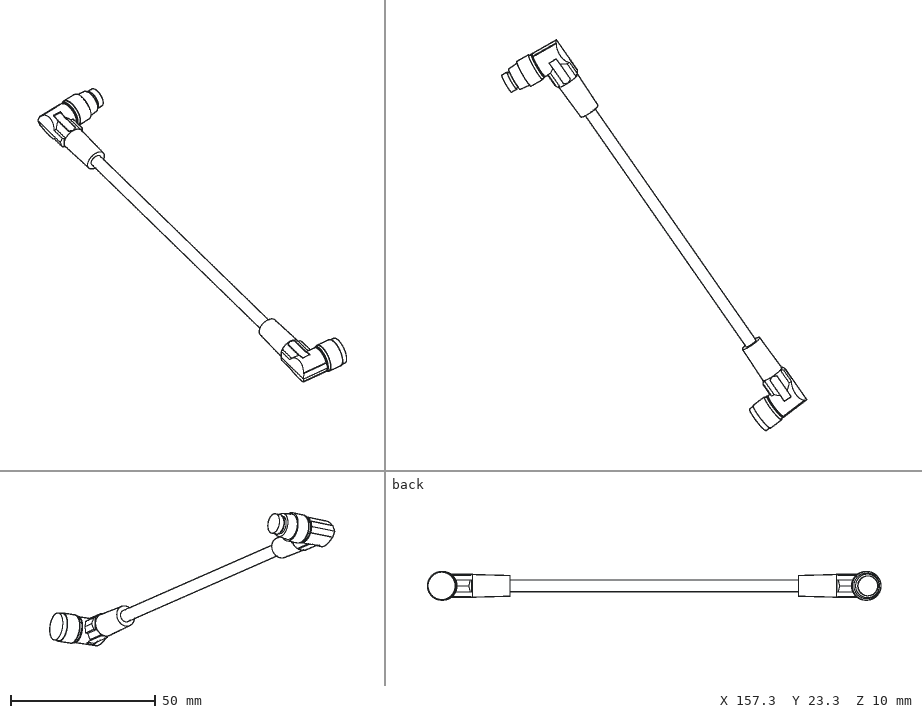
import cadquery as cq
import math

OVERALL_LENGTH = 157.26
OVERALL_WIDTH = 23.31

CABLE_RADIUS = 2.1
HEAD_TILT = 3.8

HEAD_RADIUS = 4.55
HEAD_TOP = 5.4
HEAD_BOTTOM = -6.0
ARM_RADIUS = 3.95
ARM_END = 9.8

RIB_HALF_WIDTH = 2.1
RIB_RIDGE = 4.8
RIB_ROOF_DROP = 0.5
HEAD_RIB_REACH = 4.8
RIB_SHOULDER = 8.6
RIB_TIP = 9.5
HEAD_EDGE = 3.3

PAD_HEIGHT = 4.05
PAD_HALF_WIDTH = 1.45
PAD_START = 0.25
PAD_SHOULDER = 9.1

SLEEVE_END = 22.95
SLEEVE_START_RADIUS = 4.0
SLEEVE_END_RADIUS = 3.65

COLLAR_RADIUS = 5.0
COLLAR_BOTTOM = 6.7
NECK_RADIUS = 4.2
NECK_RING_RADIUS = 4.7
NECK_RING_BOTTOM = 5.8
PLUG_COLLAR_TOP = 11.4
SOCKET_COLLAR_TOP = 11.6
SOCKET_RIM_RADIUS = 4.75
SOCKET_TOP = 13.35

CONE_BASE_RADIUS = 4.45
CONE_TOP_RADIUS = 4.1
CONE_TOP = 15.2
NOSE_NECK_RADIUS = 3.1
NOSE_BOTTOM = 16.2
NOSE_RADIUS = 3.45

tilt = math.radians(HEAD_TILT)
nose_top = (OVERALL_WIDTH - RIB_RIDGE - NOSE_RADIUS * math.sin(tilt)) / math.cos(tilt)
collar_reach = 2 * COLLAR_RADIUS * math.cos(tilt)
lean_reach = (PLUG_COLLAR_TOP + SOCKET_COLLAR_TOP) * math.sin(tilt)
elbow_offset = (OVERALL_LENGTH - collar_reach - lean_reach) / 2


def revolve_about_y(stations):
    """Solid of revolution about Y from (radius, height) stations, closed on the axis."""
    bottom = stations[0][1]
    top = stations[-1][1]
    outline = [(0, bottom)] + stations + [(0, top)]
    return cq.Workplane("XY").polyline(outline).close().revolve(360, (0, 0, 0), (0, 1, 0))


def neck_and_collar(collar_top):
    """Outline stations shared by both heads, from the neck up to the collar top."""
    return [
        (NECK_RADIUS, HEAD_TOP),
        (NECK_RADIUS, NECK_RING_BOTTOM),
        (NECK_RING_RADIUS, NECK_RING_BOTTOM),
        (NECK_RING_RADIUS, COLLAR_BOTTOM),
        (COLLAR_RADIUS, COLLAR_BOTTOM),
        (COLLAR_RADIUS, collar_top),
    ]


def plug_nose():
    return revolve_about_y(neck_and_collar(PLUG_COLLAR_TOP) + [
        (CONE_BASE_RADIUS, PLUG_COLLAR_TOP),
        (CONE_TOP_RADIUS, CONE_TOP),
        (NOSE_NECK_RADIUS, CONE_TOP),
        (NOSE_NECK_RADIUS, NOSE_BOTTOM),
        (NOSE_RADIUS, NOSE_BOTTOM),
        (NOSE_RADIUS, nose_top),
    ])


def socket_collar():
    return revolve_about_y(neck_and_collar(SOCKET_COLLAR_TOP) + [
        (SOCKET_RIM_RADIUS, SOCKET_COLLAR_TOP),
        (SOCKET_RIM_RADIUS, SOCKET_TOP),
    ])


def bottom_wedge():
    """Envelope of the connector bottom: a roof along the cable axis that slopes away to +Z and -Z."""
    edge = RIB_RIDGE - RIB_ROOF_DROP
    return (
        cq.Workplane("YZ")
        .polyline([
            (OVERALL_WIDTH, COLLAR_RADIUS),
            (0, COLLAR_RADIUS),
            (-HEAD_EDGE, HEAD_RADIUS),
            (-edge, RIB_HALF_WIDTH),
            (-RIB_RIDGE, 0),
            (-edge, -RIB_HALF_WIDTH),
            (-HEAD_EDGE, -HEAD_RADIUS),
            (0, -COLLAR_RADIUS),
            (OVERALL_WIDTH, -COLLAR_RADIUS),
        ])
        .close()
        .extrude(2 * COLLAR_RADIUS, both=True)
    )


def pad_bar(half_height):
    """Bar with a pointed end, reaching equally far to +Z and -Z."""
    return (
        cq.Workplane("XY")
        .polyline([
            (PAD_START, -PAD_HALF_WIDTH),
            (PAD_SHOULDER, -PAD_HALF_WIDTH),
            (ARM_END, 0),
            (PAD_SHOULDER, PAD_HALF_WIDTH),
            (PAD_START, PAD_HALF_WIDTH),
        ])
        .close()
        .extrude(half_height, both=True)
    )


def elbow_rib():
    """Rib along the arm, with a roof-shaped face on both the +Y and -Y sides."""
    edge = RIB_RIDGE - RIB_ROOF_DROP
    roof = (
        cq.Workplane("YZ")
        .polyline([
            (-RIB_RIDGE, 0),
            (-edge, RIB_HALF_WIDTH),
            (edge, RIB_HALF_WIDTH),
            (RIB_RIDGE, 0),
            (edge, -RIB_HALF_WIDTH),
            (-edge, -RIB_HALF_WIDTH),
        ])
        .close()
        .extrude(RIB_TIP)
    )
    sloped_end = (
        cq.Workplane("XY")
        .polyline([
            (0, -RIB_RIDGE),
            (RIB_SHOULDER, -RIB_RIDGE),
            (RIB_TIP, -ARM_RADIUS),
            (RIB_TIP, ARM_RADIUS),
            (RIB_SHOULDER, RIB_RIDGE),
            (0, RIB_RIDGE),
        ])
        .close()
        .extrude(RIB_HALF_WIDTH, both=True)
    )
    return roof.intersect(sloped_end)


def head_rib():
    """Roof-shaped rib up the outer side of the head."""
    edge = HEAD_RIB_REACH - RIB_ROOF_DROP
    return (
        cq.Workplane("XZ", origin=(0, HEAD_TOP, 0))
        .polyline([
            (0, RIB_HALF_WIDTH),
            (-edge, RIB_HALF_WIDTH),
            (-HEAD_RIB_REACH, 0),
            (-edge, -RIB_HALF_WIDTH),
            (0, -RIB_HALF_WIDTH),
        ])
        .close()
        .extrude(HEAD_TOP - HEAD_BOTTOM)
    )


def sleeve():
    return (
        cq.Workplane("XY")
        .polyline([
            (ARM_END, 0),
            (ARM_END, SLEEVE_START_RADIUS),
            (SLEEVE_END, SLEEVE_END_RADIUS),
            (SLEEVE_END, 0),
        ])
        .close()
        .revolve(360, (0, 0, 0), (1, 0, 0))
    )


def connector(nose):
    """Angled connector: leaning head, arm with ribs and pads, and sleeve."""
    cylinder = revolve_about_y([(HEAD_RADIUS, HEAD_BOTTOM), (HEAD_RADIUS, HEAD_TOP)])
    upright = cylinder.union(head_rib()).union(nose)
    leaning = upright.rotate((0, 0, 0), (0, 0, 1), HEAD_TILT)
    head = leaning.intersect(bottom_wedge())
    arm = cq.Workplane("YZ").circle(ARM_RADIUS).extrude(ARM_END)
    body = head.union(arm).union(elbow_rib())
    pocket = pad_bar(COLLAR_RADIUS)
    pads = pad_bar(PAD_HEIGHT)
    return body.cut(pocket).union(pads).union(sleeve())


def cable():
    half_length = elbow_offset - ARM_END
    return cq.Workplane("YZ").circle(CABLE_RADIUS).extrude(half_length, both=True)


plug = connector(plug_nose()).translate((-elbow_offset, 0, 0))
socket = connector(socket_collar()).mirror("YZ").translate((elbow_offset, 0, 0))
result = cable().union(plug).union(socket)